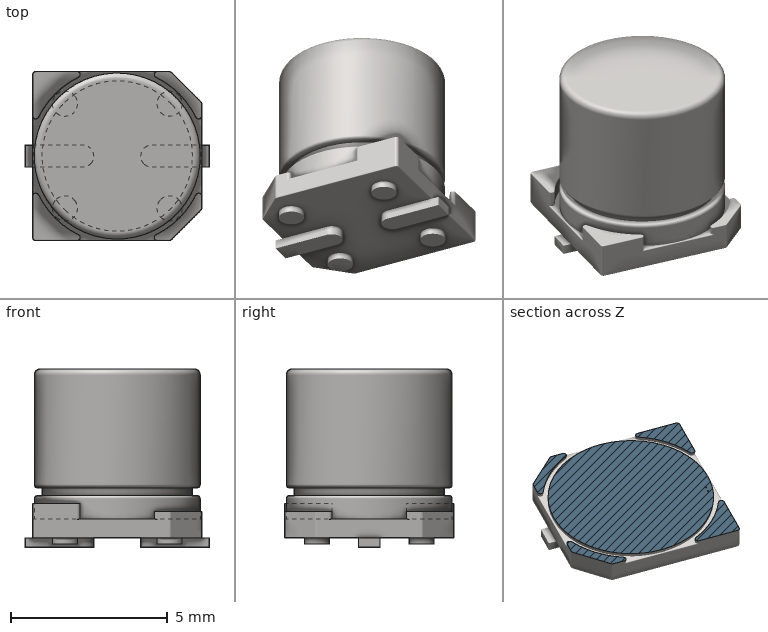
import cadquery as cq

total_height = 5.7
base_width = 5.4
can_diameter = 5.3
terminal_span = 5.88

base_bottom = 0.3
floor_height = 0.9
tall_post_height = 1.4
short_post_height = 1.15
corner_chamfer = 1.0
post_inner_radius = 2.8
upright_fillet = 0.1
rim_fillet = 0.025

foot_diameter = 0.8
foot_bottom = 0.1
foot_offset = 1.67

terminal_width = 0.7
terminal_inner_end = 0.75

neck_diameter = 4.8
groove_bottom = 1.65
groove_top = 1.9
groove_fillet = 0.1
can_top_fillet = 0.2


def base_block(bottom, top):
    """Square block with sharp upright edges and the two +X corners cut off."""
    block = cq.Workplane("XY").workplane(offset=bottom).rect(base_width, base_width)
    return block.extrude(top - bottom).edges("|Z and >X").chamfer(corner_chamfer)


def make_plate():
    plate = base_block(base_bottom, floor_height).edges("|Z").fillet(upright_fillet)
    return plate.faces(">Z or <Z").edges().fillet(rim_fillet)


def make_post(x_side, y_side, top):
    """Corner of the base block left outside the round clearance for the can."""
    half_width = base_width / 2
    quadrant = cq.Workplane("XY").box(half_width, half_width, total_height, centered=False)
    quadrant = quadrant.translate((min(0, x_side) * half_width, min(0, y_side) * half_width, 0))
    clearance = cq.Workplane("XY").circle(post_inner_radius).extrude(total_height)
    post = base_block(base_bottom + rim_fillet, top).intersect(quadrant).cut(clearance)
    return post.edges("|Z").fillet(upright_fillet).faces(">Z").edges().fillet(rim_fillet)


def make_base():
    base = make_plate()
    for x_side, top in ((-1, tall_post_height), (1, short_post_height)):
        for y_side in (-1, 1):
            base = base.union(make_post(x_side, y_side, top))
    return base


def make_feet():
    feet = cq.Workplane("XY").workplane(offset=foot_bottom)
    feet = feet.rect(2 * foot_offset, 2 * foot_offset, forConstruction=True).vertices()
    return feet.circle(foot_diameter / 2).extrude(base_bottom + rim_fillet - foot_bottom)


def make_terminal(x_side):
    half_width = terminal_width / 2
    outer_x = x_side * terminal_span / 2
    inner_x = x_side * terminal_inner_end
    round_start_x = x_side * (terminal_inner_end + half_width)
    outline = (
        cq.Workplane("XY")
        .moveTo(outer_x, -half_width)
        .lineTo(round_start_x, -half_width)
        .threePointArc((inner_x, 0), (round_start_x, half_width))
        .lineTo(outer_x, half_width)
        .close()
    )
    return outline.extrude(base_bottom)


def can_cylinder(diameter, bottom, top):
    return cq.Workplane("XY").workplane(offset=bottom).circle(diameter / 2).extrude(top - bottom)


def make_can():
    lower = can_cylinder(can_diameter, floor_height, groove_bottom)
    lower = lower.faces(">Z").edges().fillet(groove_fillet)
    neck = can_cylinder(neck_diameter, groove_bottom, groove_top)
    upper = can_cylinder(can_diameter, groove_top, total_height)
    upper = upper.faces("<Z").edges().fillet(groove_fillet)
    upper = upper.faces(">Z").edges().fillet(can_top_fillet)
    return lower.union(neck).union(upper)


result = make_base().union(make_feet()).union(make_can())
for side in (-1, 1):
    result = result.union(make_terminal(side))